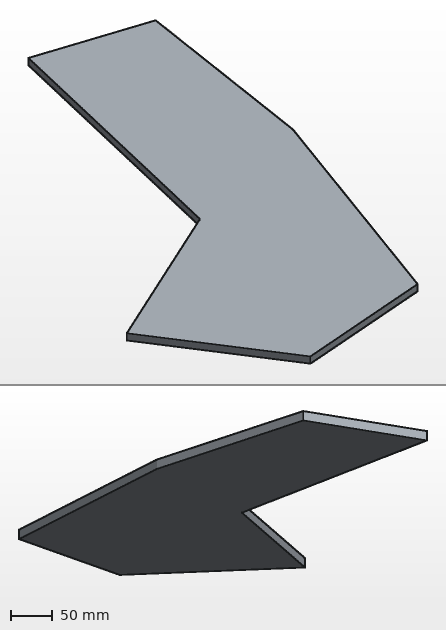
import cadquery as cq

length = 620.63
width = 356.4
thickness = 12.0

left = -length / 2
right = length / 2
front = -width / 2
back = width / 2

left_end_lower = (-305.6, -106.0)
inner_elbow = (35.4, -21.3)
front_tip = (189.9, front)
right_tip = (right, 11.0)
back_corner = (239.7, back)
outer_elbow = (-69.9, 141.4)
left_end_upper = (left, 60.6)


def make_plate():
    """Flat seven-sided plate with a bend at the inner elbow, resting on Z = 0."""
    outline = [
        left_end_lower,
        inner_elbow,
        front_tip,
        right_tip,
        back_corner,
        outer_elbow,
        left_end_upper,
    ]
    return cq.Workplane("XY").polyline(outline).close().extrude(thickness)


result = make_plate()